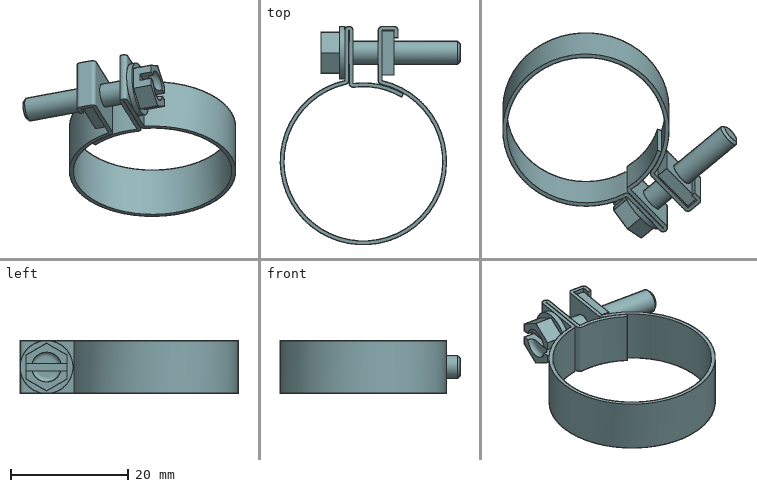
import cadquery as cq
import math

band_width = 9.0
band_thickness = 0.67
ring_outer_radius = 14.2
top_y = 23.05
slit = 0.07
fold_x = -2.45
nut_face_x = 3.2
hook_length = 1.95
tongue_end_angle = 59.3

nut_thickness = 2.05
nut_side = 7.6

screw_diameter = 4.0
screw_tip_x = 16.55
tip_chamfer = 0.5
flange_diameter = band_width
flange_thickness = 0.93
hex_height = 3.13
hex_across_flats = 7.05
socket_diameter = 5.05
socket_depth = 1.0
socket_fillet = 0.8
slot_width = 1.25
slot_depth = 2.0

ring_inner_radius = ring_outer_radius - band_thickness
tongue_outer_radius = ring_inner_radius - slit
tongue_inner_radius = tongue_outer_radius - band_thickness

bend_y = top_y - band_thickness
fold_left_inside_x = fold_x - slit / 2
fold_right_inside_x = fold_x + slit / 2
fold_left_x = fold_left_inside_x - band_thickness
fold_right_x = fold_right_inside_x + band_thickness
hook_inside_x = nut_face_x + nut_thickness

screw_y = top_y - flange_diameter / 2


def on_circle(radius, angle, center=(0, 0)):
    """Point on a circle, with the angle in degrees from +X."""
    turn = math.radians(angle)
    return (center[0] + radius * math.cos(turn), center[1] + radius * math.sin(turn))


def corner_on_circle(radius, x):
    """Upper point of a circle about the origin at the given X, and its angle in degrees."""
    y = math.sqrt(radius**2 - x**2)
    return (x, y), math.degrees(math.atan2(y, x))


def add_arc(outline, radius, start, end, center=(0, 0)):
    """Continue the outline along a circle from one angle to another, in degrees."""
    middle = on_circle(radius, (start + end) / 2, center)
    return outline.threePointArc(middle, on_circle(radius, end, center))


def screw_plane(x):
    """Plane across the screw axis at the given X, with its normal along +X."""
    return cq.Workplane("YZ", origin=(x, screw_y, 0))


def make_band():
    """One bent strip: tongue, doubled flap, ring and hooked flap."""
    t = band_thickness
    tongue_corner, tongue_angle = corner_on_circle(tongue_outer_radius, fold_right_x)
    left_corner, left_angle = corner_on_circle(ring_outer_radius, fold_left_x)
    right_corner, right_angle = corner_on_circle(ring_outer_radius, nut_face_x)

    outline = cq.Workplane("XY", origin=(0, 0, -band_width / 2))
    outline = outline.moveTo(*on_circle(tongue_outer_radius, tongue_end_angle))
    outline = add_arc(outline, tongue_outer_radius, tongue_end_angle, tongue_angle)
    outline = outline.lineTo(fold_right_x, bend_y)
    outline = add_arc(outline, t, 0, 90, (fold_right_inside_x, bend_y))
    outline = outline.lineTo(fold_left_inside_x, top_y)
    outline = add_arc(outline, t, 90, 180, (fold_left_inside_x, bend_y))

    outline = outline.lineTo(*left_corner)
    outline = add_arc(outline, ring_outer_radius, left_angle, right_angle + 360)

    outline = outline.lineTo(nut_face_x, bend_y).lineTo(hook_inside_x, bend_y)
    outline = outline.lineTo(hook_inside_x, top_y - hook_length)
    outline = outline.lineTo(hook_inside_x + t, top_y - hook_length)
    outline = outline.lineTo(hook_inside_x + t, bend_y)
    outline = add_arc(outline, t, 0, 90, (hook_inside_x, bend_y))
    outline = outline.lineTo(nut_face_x, top_y)
    outline = add_arc(outline, t, 90, 180, (nut_face_x, bend_y))

    outline = outline.lineTo(nut_face_x - t, right_corner[1])
    outline = add_arc(outline, t, 180, right_angle + 180, right_corner)
    outline = add_arc(outline, ring_inner_radius, right_angle + 360, left_angle)
    outline = add_arc(outline, t, left_angle + 180, 360, left_corner)

    outline = outline.lineTo(fold_left_inside_x, bend_y).lineTo(fold_right_inside_x, bend_y)
    outline = outline.lineTo(fold_right_inside_x, tongue_corner[1])
    outline = add_arc(outline, t, 180, tongue_angle + 180, tongue_corner)
    outline = add_arc(outline, tongue_inner_radius, tongue_angle, tongue_end_angle)
    strip = outline.close().extrude(band_width)

    screw_hole = screw_plane(fold_left_x).circle(screw_diameter / 2).extrude(nut_face_x - fold_left_x)
    return strip.cut(screw_hole)


def make_nut():
    """Square nut held in the hooked flap."""
    block = screw_plane(nut_face_x).rect(nut_side, nut_side).extrude(nut_thickness)
    bore = screw_plane(nut_face_x).circle(screw_diameter / 2).extrude(nut_thickness)
    return block.cut(bore)


def make_screw():
    """Flanged hexagon screw with a slot and a dished recess in its head."""
    flange_x = fold_left_x - flange_thickness
    head_x = flange_x - hex_height
    corner_diameter = hex_across_flats / math.cos(math.radians(30))

    shank = screw_plane(fold_left_x).circle(screw_diameter / 2).extrude(screw_tip_x - fold_left_x)
    shank = shank.faces(">X").chamfer(tip_chamfer)
    flange = screw_plane(flange_x).circle(flange_diameter / 2).extrude(flange_thickness)
    hexagon = (
        screw_plane(head_x)
        .transformed(rotate=(0, 0, 30))
        .polygon(6, corner_diameter)
        .extrude(hex_height)
    )

    recess = screw_plane(head_x).circle(socket_diameter / 2).extrude(socket_depth)
    recess = recess.faces(">X").edges().fillet(socket_fillet)
    slot = screw_plane(head_x).rect(hex_across_flats, slot_width).extrude(slot_depth)

    return hexagon.union(flange).union(shank).cut(recess).cut(slot)


band = make_band()
nut = make_nut()
screw = make_screw()

result = cq.Compound.makeCompound([band.val(), nut.val(), screw.val()])